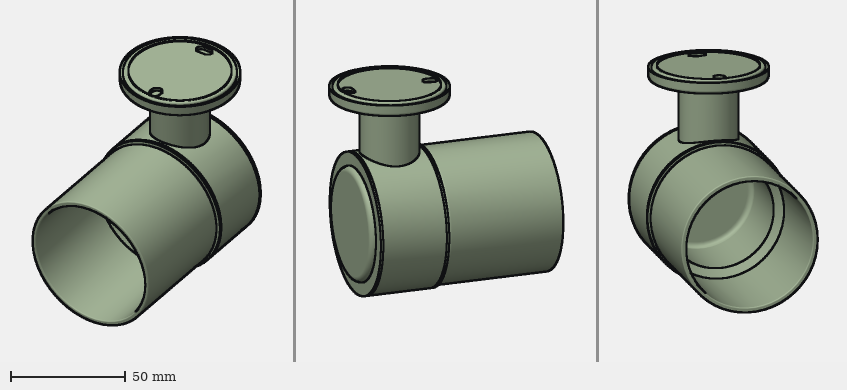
import cadquery as cq


overall_length = 96.5
overall_height = 94.9
ring_diameter = 64.0
flange_diameter = 53.0

ring_radius = ring_diameter / 2
ring_length = 32.0
end_ring_thickness = 1.2
band_length = ring_length - 2 * end_ring_thickness
ring_front = -ring_length / 2
ring_back = ring_length / 2

cup_radius = 31.0
cup_mouth = flange_diameter / 2 - overall_length
cup_back = 18.4
wall = 2.2
rim_round = 0.6
shoulder_round = 1.7
bore_radius = cup_radius - wall
step_depth = 2.5
step_back = ring_front - wall
step_front = step_back - step_depth
neck_radius = 25.9
neck_bore_radius = 24.7
neck_floor = cup_back - wall
base_round = 2.6
floor_round = 2.4

flange_radius = flange_diameter / 2
flange_bottom = 56.8
flange_top = 62.05
flange_bottom_round = 1.4
flange_lip_round = 1.1

plate_radius = 25.0
plate_top = overall_height - ring_radius
plate_thickness = 2.0
plate_round = 0.8
plate_bottom = plate_top - plate_thickness
recess_radius = 22.7
recess_depth = 0.5

cross_slot_length = 7.8
cross_slot_width = 4.4
cross_slot_y = 19.0
long_slot_length = 6.5
long_slot_width = 5.1
long_slot_y = -18.8

post_radius = 13.2


def cylinder_y(radius, start, length):
    """Cylinder on the Y axis that runs from start toward +Y."""
    return cq.Workplane("XZ", origin=(0, start, 0)).circle(radius).extrude(-length)


def frustum_y(front_radius, back_radius, front, back):
    """Frustum on the Y axis with the given radii at its two ends."""
    outline = [(0, front), (front_radius, front), (back_radius, back), (0, back)]
    return cq.Workplane("XY").polyline(outline).close().revolve(360, (0, 0, 0), (0, 1, 0))


def cylinder_z(radius, bottom, top):
    """Cylinder on the Z axis between two heights."""
    return cq.Workplane("XY", origin=(0, 0, bottom)).circle(radius).extrude(top - bottom)


def make_neck():
    """Narrow end of the cup that fills the ring and stands out behind it."""
    neck = cylinder_y(neck_radius, ring_front, cup_back - ring_front)
    return neck.faces(">Y").edges().fillet(base_round)


def make_cavity():
    """Inside of the cup: wide bore, conical step and round-bottomed neck bore."""
    bore = cylinder_y(bore_radius, cup_mouth, step_front - cup_mouth)
    step = frustum_y(bore_radius, neck_bore_radius, step_front, step_back)
    neck_bore = cylinder_y(neck_bore_radius, step_back, neck_floor - step_back)
    neck_bore = neck_bore.faces(">Y").edges().fillet(floor_round)
    return bore.union(step).union(neck_bore)


def make_cup():
    barrel = cylinder_y(cup_radius, cup_mouth, ring_front - cup_mouth)
    barrel = barrel.faces(">Y").edges().fillet(shoulder_round)
    cup = barrel.union(make_neck()).cut(make_cavity())
    return cup.faces("<Y").edges().fillet(rim_round)


def make_ring_section(start, length):
    """Slice of the holder ring, bored to fit the cup neck."""
    return cylinder_y(ring_radius, start, length).cut(make_neck())


def make_post():
    """Post whose lower end is saddled onto the ring."""
    saddle = cylinder_y(ring_radius, ring_front, ring_length)
    return cylinder_z(post_radius, 0, flange_bottom).cut(saddle)


def make_flange():
    flange = cylinder_z(flange_radius, flange_bottom, flange_top)
    flange = flange.faces("<Z").edges().fillet(flange_bottom_round)
    flange = flange.cut(cylinder_z(plate_radius, plate_bottom, flange_top))
    lip_edge = flange.faces(">Z").edges(cq.selectors.RadiusNthSelector(0))
    return lip_edge.fillet(flange_lip_round)


def make_slot(y, length, width, angle):
    """Cutter for a round-ended slot through the plate."""
    sketch = cq.Workplane("XY", origin=(0, y, plate_bottom))
    return sketch.slot2D(length, width, angle).extrude(plate_thickness)


def make_cover_plate():
    plate = cylinder_z(plate_radius, plate_bottom, plate_top)
    plate = plate.faces(">Z").edges().fillet(plate_round)
    plate = plate.cut(cylinder_z(recess_radius, plate_top - recess_depth, plate_top))
    plate = plate.cut(make_slot(cross_slot_y, cross_slot_length, cross_slot_width, 0))
    return plate.cut(make_slot(long_slot_y, long_slot_length, long_slot_width, 90))


cup = make_cup()
band = make_ring_section(-band_length / 2, band_length)
end_rings = [
    make_ring_section(start, end_ring_thickness)
    for start in (ring_front, ring_back - end_ring_thickness)
]
post = make_post()
flange = make_flange()
cover_plate = make_cover_plate()

result = cq.Compound.makeCompound([
    cup.val(),
    band.val(),
    *[end_ring.val() for end_ring in end_rings],
    post.val(),
    flange.val(),
    cover_plate.val(),
])